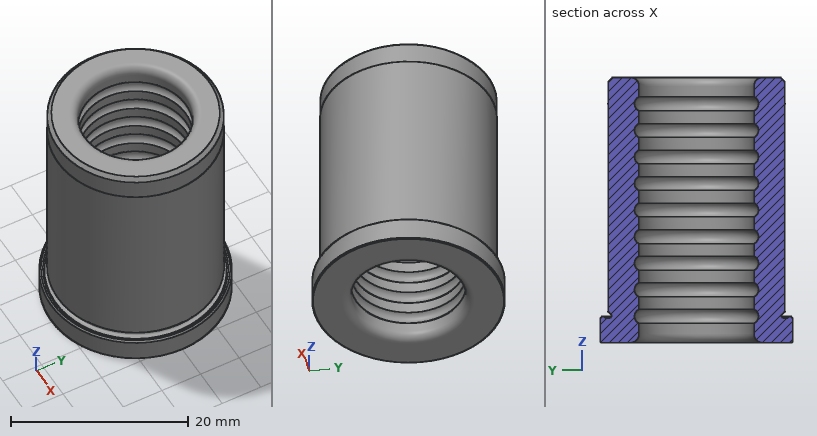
import cadquery as cq

height = 30
body_radius = 10.02
pilot_radius = 10.0
pilot_length = 3
flange_radius = 21.8 / 2
flange_height = 3
bore_radius = 6.48

top_chamfer = 0.48
flange_top_chamfer = 0.2
flange_bottom_chamfer = 0.12
mouth_fillet = 1.0

relief_depth = 0.4
relief_floor = 2.82
relief_outer_radius = 10.3
relief_fillet = 0.3
relief_top = relief_floor + relief_fillet + relief_depth
relief_inner_radius = body_radius - relief_depth

groove_width = 1.55
groove_depth = 0.5
groove_pitch = 3
groove_count = round(height / groove_pitch) - 1


def make_body():
    """Revolve the outer outline about Z."""
    outline = (
        cq.Workplane("XZ")
        .moveTo(0, 0)
        .lineTo(flange_radius - flange_bottom_chamfer, 0)
        .lineTo(flange_radius, flange_bottom_chamfer)
        .lineTo(flange_radius, flange_height - flange_top_chamfer)
        .lineTo(flange_radius - flange_top_chamfer, flange_height)
        .lineTo(relief_outer_radius + flange_height - relief_floor, flange_height)
        .lineTo(relief_outer_radius, relief_floor)
        .lineTo(relief_inner_radius + relief_fillet, relief_floor)
        .tangentArcPoint((relief_inner_radius, relief_floor + relief_fillet), relative=False)
        .lineTo(body_radius, relief_top)
        .lineTo(body_radius, height - pilot_length)
        .lineTo(pilot_radius, height - pilot_length)
        .lineTo(pilot_radius, height - top_chamfer)
        .lineTo(pilot_radius - top_chamfer, height)
        .lineTo(0, height)
        .close()
    )
    return outline.revolve(360, (0, 0, 0), (0, 1, 0))


def make_bore():
    """Through bore, to be cut before its mouths are rounded."""
    return cq.Workplane("XY").circle(bore_radius).extrude(height)


def make_groove(center_z):
    """Ring with an arc-shaped bottom that cuts into the bore wall."""
    half_width = groove_width / 2
    return (
        cq.Workplane("XZ")
        .moveTo(bore_radius, center_z - half_width)
        .threePointArc((bore_radius + groove_depth, center_z), (bore_radius, center_z + half_width))
        .close()
        .revolve(360, (0, 0, 0), (0, 1, 0))
    )


result = make_body().cut(make_bore())
result = result.faces("<Z or >Z").edges(cq.selectors.RadiusNthSelector(0)).fillet(mouth_fillet)

for index in range(groove_count):
    result = result.cut(make_groove(height - (index + 1) * groove_pitch))